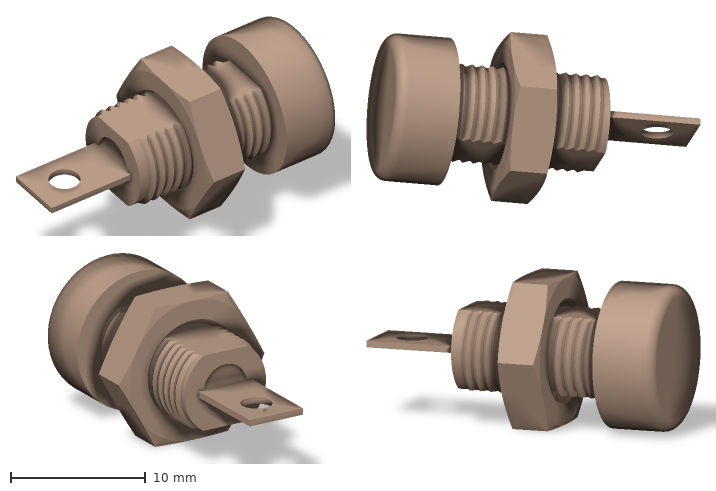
import cadquery as cq
import math


OVERALL_LENGTH = 23.8

HEAD_DIAMETER = 11.0
HEAD_LENGTH = 4.75
HEAD_EDGE_RADIUS = 0.8

SHANK_LENGTH = 11.9
ROOT_DIAMETER = 7.12
CREST_DIAMETER = 7.7
ACROSS_SHANK_FLATS = 5.96
THREAD_PITCH = 25.4 / 32
THREAD_TURNS = 14
THREAD_START = 0.13
THREAD_BASE = 0.7
RIDGE_OVERLAP = 0.05

NUT_FLATS = 11.05
NUT_CORNERS = NUT_FLATS / math.cos(math.radians(30))
NUT_LENGTH = 3.25
NUT_START = 4.15
NUT_CHAMFER_ANGLE = 15
NUT_MOUTH_DIAMETER = 7.97

PLUG_DIAMETER = 3.84
PLUG_RECESS = 0.44
TAB_WIDTH = 4.68
TAB_THICKNESS = 0.5
TAB_LENGTH = OVERALL_LENGTH - HEAD_LENGTH - SHANK_LENGTH
TAB_HOLE_DIAMETER = 2.38
TAB_HOLE_TO_END = 2.78


def rod(diameter, start, length):
    """Cylinder on the axis, running toward -Y from `start` below the head."""
    plane = cq.Workplane("XZ", origin=(0, -start, 0))
    return plane.circle(diameter / 2).extrude(length)


def thread_ridge():
    """V-shaped helical ridge that starts and ends on the +Z side."""
    root = ROOT_DIAMETER / 2
    inner = root - RIDGE_OVERLAP
    crest = CREST_DIAMETER / 2
    half_base = THREAD_BASE / 2 * (crest - inner) / (crest - root)
    helix = cq.Wire.makeHelix(THREAD_PITCH, THREAD_PITCH * THREAD_TURNS, root, lefthand=True)
    ridge = (
        cq.Workplane("XZ")
        .polyline([(inner, -half_base), (crest, 0), (inner, half_base)])
        .close()
        .sweep(cq.Workplane(helix), isFrenet=True)
    )
    ridge = ridge.rotate((0, 0, 0), (0, 0, 1), 90)
    ridge = ridge.rotate((0, 0, 0), (1, 0, 0), 90)
    return ridge.translate((0, -THREAD_START, 0))


def threaded_rod():
    """Full round threaded shank, before its flats are cut."""
    return rod(ROOT_DIAMETER, 0, SHANK_LENGTH).union(thread_ridge())


def make_housing(threaded):
    head = rod(HEAD_DIAMETER, -HEAD_LENGTH, HEAD_LENGTH)
    head = head.faces(">Y").edges().fillet(HEAD_EDGE_RADIUS)
    between_flats = cq.Workplane("XY").box(
        HEAD_DIAMETER, 2 * SHANK_LENGTH, ACROSS_SHANK_FLATS
    )
    shank = threaded.intersect(between_flats)
    return head.union(shank).cut(rod(PLUG_DIAMETER, 0, SHANK_LENGTH))


def turned_nut_form(face_radius, middle_radius, taper_depth):
    """Solid of revolution as long as the nut, tapering from its middle radius to each end face."""
    near = -NUT_START
    far = near - NUT_LENGTH
    return (
        cq.Workplane("XY")
        .polyline(
            [
                (0, near),
                (face_radius, near),
                (middle_radius, near - taper_depth),
                (middle_radius, far + taper_depth),
                (face_radius, far),
                (0, far),
            ]
        )
        .close()
        .revolve(360, (0, 0, 0), (0, 1, 0))
    )


def make_nut(threaded):
    hexagon = (
        cq.Workplane("XZ", origin=(0, -NUT_START, 0))
        .polygon(6, NUT_CORNERS)
        .extrude(NUT_LENGTH)
    )
    corner_width = (NUT_CORNERS - NUT_FLATS) / 2
    corner_drop = corner_width * math.tan(math.radians(NUT_CHAMFER_ANGLE))
    blank = turned_nut_form(NUT_FLATS / 2, NUT_CORNERS / 2, corner_drop)
    mouth_depth = (NUT_MOUTH_DIAMETER - ROOT_DIAMETER) / 2
    bore = turned_nut_form(NUT_MOUTH_DIAMETER / 2, ROOT_DIAMETER / 2, mouth_depth)
    return hexagon.intersect(blank).cut(bore).cut(threaded)


def make_contact():
    plug_end = -(SHANK_LENGTH - PLUG_RECESS)
    shank_end = -SHANK_LENGTH
    half_tab = TAB_THICKNESS / 2
    half_foot = half_tab + PLUG_RECESS
    bulge = PLUG_RECESS * (1 - math.sqrt(0.5))
    plug = rod(PLUG_DIAMETER, 0, SHANK_LENGTH - PLUG_RECESS)
    neck = (
        cq.Workplane("YZ")
        .moveTo(plug_end, -half_foot)
        .lineTo(plug_end, half_foot)
        .threePointArc((plug_end - bulge, half_tab + bulge), (shank_end, half_tab))
        .lineTo(shank_end, -half_tab)
        .threePointArc((plug_end - bulge, -half_tab - bulge), (plug_end, -half_foot))
        .close()
        .extrude(PLUG_DIAMETER / 2, both=True)
        .intersect(rod(PLUG_DIAMETER, 0, SHANK_LENGTH))
    )
    tab = cq.Workplane("XY").box(TAB_WIDTH, TAB_LENGTH, TAB_THICKNESS)
    tab = tab.translate((0, shank_end - TAB_LENGTH / 2, 0))
    hole_center = shank_end - TAB_LENGTH + TAB_HOLE_TO_END
    hole = (
        cq.Workplane("XY")
        .center(0, hole_center)
        .circle(TAB_HOLE_DIAMETER / 2)
        .extrude(TAB_THICKNESS, both=True)
    )
    return plug.union(neck).union(tab).cut(hole)


threaded_shank = threaded_rod()
housing = make_housing(threaded_shank).solids()
nut = make_nut(threaded_shank).solids()
contact = make_contact().solids()

result = cq.Compound.makeCompound([housing.val(), nut.val(), contact.val()])